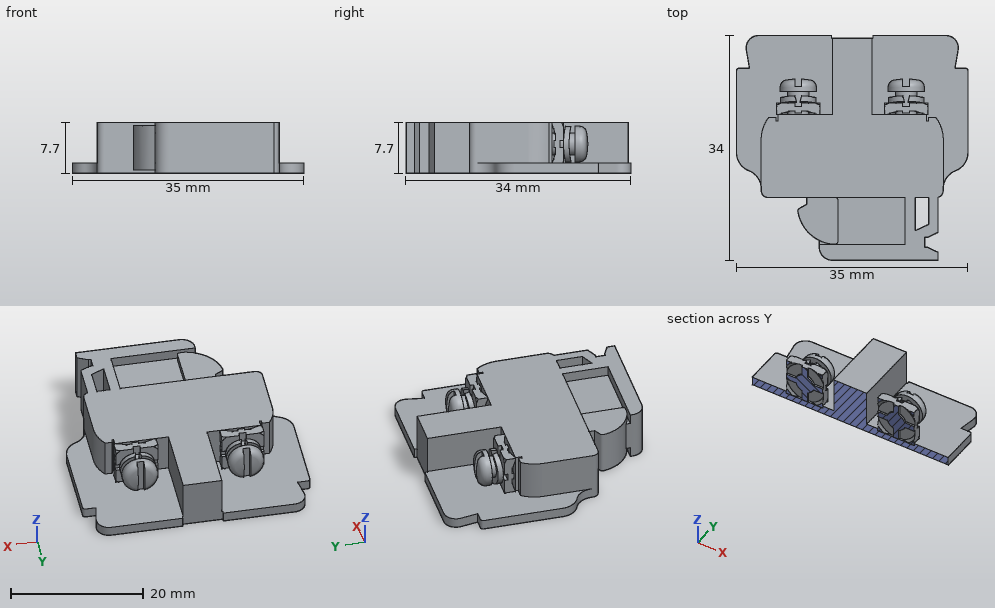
import cadquery as cq
import math


WIDTH = 35.0
DEPTH = 34.0
HEIGHT = 7.7
HALF_WIDTH = WIDTH / 2

FLANGE_THICKNESS = 1.58
EAR_FLAT_END_X = 14.15
EAR_TIP_X = 16.0
EAR_TIP_Y = 31.68
STEP_X = 15.55
STEP_Y = 29.05
STEP_FILLET = 0.42
NOTCH_HALF_WIDTH = 3.1
NOTCH_DEPTH = 0.42
WAIST_TOP_Y = 16.28
WAIST_BOTTOM_Y = 10.8

BLOCK_HALF_WIDTH = 13.75
BLOCK_FRONT_Y = 9.5
BLOCK_FILLET = 1.05
SHOULDER_X = 12.65
SHOULDER_Y = 21.6
SHOULDER_ARC_START_Y = 18.5
SHOULDER_ARC_MIDDLE = (13.45, 20.1)
SEAT_Y = 22.0
SEAT_OUTER_X = 11.25
SLIT_WIDTH = 0.28
SLIT_BOTTOM_Y = 21.05
TOWER_HALF_WIDTH = 2.98

ARM_LEFT_X = -5.0
ARM_THICKNESS = 2.38
ARM_FILLET = 2.03
FOOT_RIGHT_X = 13.0
POST_LEFT_X = 7.98
FOOT_NOTCH_X = 11.0
FOOT_NOTCH_LAND_X = 11.38
FOOT_NOTCH_BOTTOM_Y = 2.0
FOOT_NOTCH_TOP_Y = 3.45
FOOT_NOTCH_FLARE = 0.77
WINDOW_LEFT_X = 9.52
WINDOW_RIGHT_X = 11.55
WINDOW_LEFT_Y = 4.5
WINDOW_RIGHT_Y = 5.45
WEB_INSET = 1.58

LATCH_INSET = 0.5
LATCH_NECK_X = -6.9
LATCH_NECK_Y = 8.47
LATCH_SHOULDER = (-7.98, 7.88)
LATCH_TIP = (-8.22, 7.4)
LATCH_ARC_MIDDLE = (-6.82, 4.4)
LATCH_ARC_END_X = -3.3
LATCH_RIGHT_X = -2.17
LATCH_BOTTOM_Y = 2.5
LATCH_FILLET = 0.35

TERMINAL_X = 8.15
TERMINAL_CENTERS_X = (-TERMINAL_X, TERMINAL_X)
PLATE_SIZE = 6.5
PLATE_THICKNESS = 1.75
TERMINAL_Z = HEIGHT - PLATE_SIZE / 2
PLATE_BEVEL_RADIUS = 4.13
PLATE_BEVEL_DROP = 0.28
HOLLOW_MOUTH_RADIUS = 4.4
HOLLOW_TOP_RADIUS = 3.43
HOLLOW_DEPTH = 0.55
BEAD_WIDTH = 1.05
BEAD_GROOVE_DEPTH = 0.52
BEAD_CLEARANCE = 0.28
SHANK_RADIUS = 1.65
WASHER_RADIUS = 2.7
WASHER_THICKNESS = 0.85
WASHER_RISE = 0.28
WASHER_SPLIT_TOP = 1.05
WASHER_SPLIT_BOTTOM = 0.42
NECK_LENGTH = 1.75
HEAD_RADIUS = 2.73
RIM_THICKNESS = 0.65
DOME_HEIGHT = 1.25
DOME_SHOULDER_RADIUS = 1.9
DOME_SHOULDER_HEIGHT = 1.05
SLOT_WIDTH = 1.05
SLOT_DEPTH = 1.2


def block_between(x_start, x_end, y_start, y_end, z_start, z_end):
    """Box spanning the given limits on each axis."""
    return (
        cq.Workplane("XY")
        .box(x_end - x_start, y_end - y_start, z_end - z_start, centered=False)
        .translate((x_start, y_start, z_start))
    )


def flange():
    """Thin plate with eared corners and an S-shaped waist on each side."""
    waist_x = (HALF_WIDTH + BLOCK_HALF_WIDTH) / 2
    waist_y = (WAIST_TOP_Y + WAIST_BOTTOM_Y) / 2
    notch_y = DEPTH - NOTCH_DEPTH
    return (
        cq.Workplane("XY")
        .moveTo(0, notch_y)
        .lineTo(NOTCH_HALF_WIDTH, notch_y)
        .lineTo(NOTCH_HALF_WIDTH, DEPTH)
        .lineTo(EAR_FLAT_END_X, DEPTH)
        .tangentArcPoint((EAR_TIP_X, EAR_TIP_Y), relative=False)
        .lineTo(STEP_X, STEP_Y)
        .lineTo(HALF_WIDTH - STEP_FILLET, STEP_Y)
        .tangentArcPoint((HALF_WIDTH, STEP_Y - STEP_FILLET), relative=False)
        .lineTo(HALF_WIDTH, WAIST_TOP_Y)
        .tangentArcPoint((waist_x, waist_y), relative=False)
        .tangentArcPoint((BLOCK_HALF_WIDTH, WAIST_BOTTOM_Y), relative=False)
        .lineTo(0, WAIST_BOTTOM_Y)
        .mirrorY()
        .extrude(FLANGE_THICKNESS)
    )


def main_block():
    """Full-height block with rounded shoulders, side slits and the tower."""
    slit_outer_x = SEAT_OUTER_X + SLIT_WIDTH
    tower_end_y = DEPTH - NOTCH_DEPTH
    return (
        cq.Workplane("XY")
        .moveTo(0, BLOCK_FRONT_Y)
        .lineTo(BLOCK_HALF_WIDTH - BLOCK_FILLET, BLOCK_FRONT_Y)
        .tangentArcPoint((BLOCK_HALF_WIDTH, BLOCK_FRONT_Y + BLOCK_FILLET), relative=False)
        .lineTo(BLOCK_HALF_WIDTH, SHOULDER_ARC_START_Y)
        .threePointArc(SHOULDER_ARC_MIDDLE, (SHOULDER_X, SHOULDER_Y))
        .lineTo(slit_outer_x, SHOULDER_Y)
        .lineTo(slit_outer_x, SLIT_BOTTOM_Y)
        .lineTo(SEAT_OUTER_X, SLIT_BOTTOM_Y)
        .lineTo(SEAT_OUTER_X, SEAT_Y)
        .lineTo(TOWER_HALF_WIDTH, SEAT_Y)
        .lineTo(TOWER_HALF_WIDTH, tower_end_y)
        .lineTo(0, tower_end_y)
        .mirrorY()
        .extrude(HEIGHT)
    )


def rail_foot():
    """Arm and post below the block, joined by a web that is thinner than they are."""
    frame = (
        cq.Workplane("XY")
        .moveTo(ARM_LEFT_X, ARM_THICKNESS)
        .lineTo(ARM_LEFT_X, ARM_FILLET)
        .tangentArcPoint((ARM_LEFT_X + ARM_FILLET, 0), relative=False)
        .lineTo(FOOT_RIGHT_X, 0)
        .lineTo(FOOT_RIGHT_X, FOOT_NOTCH_BOTTOM_Y - FOOT_NOTCH_FLARE)
        .lineTo(FOOT_NOTCH_LAND_X, FOOT_NOTCH_BOTTOM_Y)
        .lineTo(FOOT_NOTCH_X, FOOT_NOTCH_BOTTOM_Y)
        .lineTo(FOOT_NOTCH_X, FOOT_NOTCH_TOP_Y)
        .lineTo(FOOT_NOTCH_LAND_X, FOOT_NOTCH_TOP_Y)
        .lineTo(FOOT_RIGHT_X, FOOT_NOTCH_TOP_Y + FOOT_NOTCH_FLARE)
        .lineTo(FOOT_RIGHT_X, BLOCK_FRONT_Y + BLOCK_FILLET)
        .lineTo(POST_LEFT_X, BLOCK_FRONT_Y + BLOCK_FILLET)
        .lineTo(POST_LEFT_X, ARM_THICKNESS)
        .close()
        .extrude(HEIGHT)
    )
    web = block_between(
        ARM_LEFT_X, POST_LEFT_X, ARM_THICKNESS, BLOCK_FRONT_Y, WEB_INSET, HEIGHT - WEB_INSET
    )
    return frame.union(web)


def post_window():
    """Slanted-bottom opening through the post."""
    return (
        cq.Workplane("XY")
        .polyline([
            (WINDOW_LEFT_X, WINDOW_LEFT_Y),
            (WINDOW_RIGHT_X, WINDOW_RIGHT_Y),
            (WINDOW_RIGHT_X, BLOCK_FRONT_Y),
            (WINDOW_LEFT_X, BLOCK_FRONT_Y),
        ])
        .close()
        .extrude(HEIGHT)
    )


def latch():
    """Nose with a curved lead-in, standing proud of the web on both faces."""
    return (
        cq.Workplane("XY", origin=(0, 0, LATCH_INSET))
        .moveTo(LATCH_NECK_X, BLOCK_FRONT_Y)
        .lineTo(LATCH_NECK_X, LATCH_NECK_Y)
        .lineTo(*LATCH_SHOULDER)
        .tangentArcPoint(LATCH_TIP, relative=False)
        .threePointArc(LATCH_ARC_MIDDLE, (LATCH_ARC_END_X, LATCH_BOTTOM_Y))
        .lineTo(LATCH_RIGHT_X - LATCH_FILLET, LATCH_BOTTOM_Y)
        .tangentArcPoint((LATCH_RIGHT_X, LATCH_BOTTOM_Y + LATCH_FILLET), relative=False)
        .lineTo(LATCH_RIGHT_X, BLOCK_FRONT_Y - LATCH_FILLET)
        .tangentArcPoint((LATCH_RIGHT_X - LATCH_FILLET, BLOCK_FRONT_Y), relative=False)
        .close()
        .extrude(HEIGHT - 2 * LATCH_INSET)
    )


def terminal_recess(center_x):
    """Shallow recess in the flange for the lower edge of a clamp plate."""
    return block_between(
        center_x - PLATE_SIZE / 2,
        center_x + PLATE_SIZE / 2,
        SEAT_Y,
        SEAT_Y + PLATE_THICKNESS,
        HEIGHT - PLATE_SIZE,
        FLANGE_THICKNESS,
    )


def make_housing():
    """Flange, block, rail foot and latch as one solid."""
    foot = rail_foot().cut(post_window())
    body = flange().union(main_block()).union(foot).union(latch())
    for center_x in TERMINAL_CENTERS_X:
        body = body.cut(terminal_recess(center_x))
    return body


def revolve_about_y(profile):
    """Full turn of a closed (radius, y) profile about the Y axis."""
    return profile.revolve(360, (0, 0, 0), (0, 1, 0))


def turned_solid(points):
    """Solid of revolution about Y with straight (radius, y) profile segments."""
    return revolve_about_y(cq.Workplane("XY").polyline(points).close())


def cylinder(radius, y_start, y_end):
    """Cylinder on the Y axis."""
    return turned_solid([(0, y_start), (radius, y_start), (radius, y_end), (0, y_end)])


def cross_bars(y_start, y_end):
    """Two crossing bars, as wide as the pressed bead and as long as the plate."""
    half_size = PLATE_SIZE / 2
    half_bead = BEAD_WIDTH / 2
    along_x = block_between(-half_size, half_size, y_start, y_end, -half_bead, half_bead)
    along_z = block_between(-half_bead, half_bead, y_start, y_end, -half_size, half_size)
    return along_x.union(along_z)


def clamp_plate():
    """Dished square plate with bevelled corners and a pressed cross-shaped bead."""
    half_size = PLATE_SIZE / 2
    bevel_slope = PLATE_BEVEL_DROP / (half_size * math.sqrt(2) - PLATE_BEVEL_RADIUS)
    envelope_radius = PLATE_SIZE
    envelope_edge_y = PLATE_THICKNESS - bevel_slope * (envelope_radius - PLATE_BEVEL_RADIUS)
    bevel_envelope = turned_solid([
        (0, 0),
        (envelope_radius, 0),
        (envelope_radius, envelope_edge_y),
        (PLATE_BEVEL_RADIUS, PLATE_THICKNESS),
        (0, PLATE_THICKNESS),
    ])
    hollow = turned_solid([
        (0, 0), (HOLLOW_MOUTH_RADIUS, 0), (HOLLOW_TOP_RADIUS, HOLLOW_DEPTH), (0, HOLLOW_DEPTH)
    ])
    square = block_between(-half_size, half_size, 0, PLATE_THICKNESS, -half_size, half_size)
    groove = cross_bars(PLATE_THICKNESS - BEAD_GROOVE_DEPTH, PLATE_THICKNESS)
    rib = cross_bars(BEAD_CLEARANCE, HOLLOW_DEPTH)
    return square.intersect(bevel_envelope).cut(hollow).union(rib).cut(groove)


def spring_washer():
    """Ring bowed towards the screw head at +Z and -Z, with a tapered split at +Z."""
    ring_top = PLATE_THICKNESS + WASHER_RISE + WASHER_THICKNESS
    ring = cylinder(WASHER_RADIUS, PLATE_THICKNESS, ring_top)
    bowed_band = (
        cq.Workplane("YZ")
        .moveTo(PLATE_THICKNESS + WASHER_RISE, -WASHER_RADIUS)
        .threePointArc((PLATE_THICKNESS, 0), (PLATE_THICKNESS + WASHER_RISE, WASHER_RADIUS))
        .lineTo(ring_top, WASHER_RADIUS)
        .threePointArc((PLATE_THICKNESS + WASHER_THICKNESS, 0), (ring_top, -WASHER_RADIUS))
        .close()
        .extrude(WASHER_RADIUS, both=True)
    )
    split = (
        cq.Workplane("XY")
        .polyline([
            (-WASHER_SPLIT_BOTTOM / 2, PLATE_THICKNESS),
            (WASHER_SPLIT_BOTTOM / 2, PLATE_THICKNESS),
            (WASHER_SPLIT_TOP / 2, ring_top),
            (-WASHER_SPLIT_TOP / 2, ring_top),
        ])
        .close()
        .extrude(WASHER_RADIUS)
    )
    return ring.intersect(bowed_band).cut(split)


def screw():
    """Shank and domed head with a driver slot."""
    head_bottom = PLATE_THICKNESS + NECK_LENGTH
    rim_top = head_bottom + RIM_THICKNESS
    head_top = rim_top + DOME_HEIGHT
    head = revolve_about_y(
        cq.Workplane("XY")
        .moveTo(0, head_bottom)
        .lineTo(HEAD_RADIUS, head_bottom)
        .lineTo(HEAD_RADIUS, rim_top)
        .tangentArcPoint((DOME_SHOULDER_RADIUS, rim_top + DOME_SHOULDER_HEIGHT), relative=False)
        .tangentArcPoint((0, head_top), relative=False)
        .close()
    )
    slot = block_between(
        -SLOT_WIDTH / 2,
        SLOT_WIDTH / 2,
        head_top - SLOT_DEPTH,
        head_top + SLOT_DEPTH,
        -HEAD_RADIUS,
        HEAD_RADIUS,
    )
    return cylinder(SHANK_RADIUS, 0, head_bottom).union(head.cut(slot))


def make_terminal(center_x):
    """One clamp plate, spring washer and screw, seated against the block."""
    stack = clamp_plate().union(spring_washer()).union(screw())
    return stack.translate((center_x, SEAT_Y, TERMINAL_Z))


housing = make_housing()
terminals = [make_terminal(center_x) for center_x in TERMINAL_CENTERS_X]

result = cq.Compound.makeCompound([
    *housing.solids().vals(),
    *[solid for terminal in terminals for solid in terminal.solids().vals()],
])